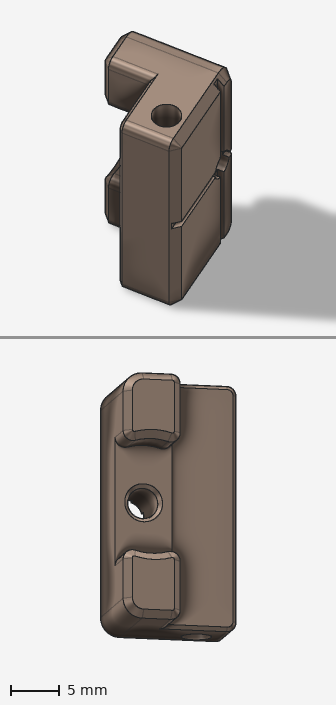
import cadquery as cq
import math

WIDTH = 12.4
DEPTH = 13.0
HEIGHT = 25.6

ARM_DEPTH = 6.0
ARM_CENTER_Y = DEPTH - ARM_DEPTH / 2
ARM_FRONT_Y = DEPTH - ARM_DEPTH
NOTCH_FLOOR_X = 4.55
NOTCH_RADIUS = ARM_DEPTH
HORN_CHAMFER = 0.8

BLOCK_LEFT_X = 5.58
BLOCK_CHAMFER = 0.4

BACK_RADIUS = 2.0
EDGE_RADIUS = 1.0
RIGHT_CHAMFER = 0.97

SCREW_DIAMETER = 3.15
SCREW_BEVEL = 0.4
PIN_DIAMETER = 3.1
PIN_X = 9.37
PIN_Y = 3.4
GROOVE_WIDTH = 0.8
GROOVE_DEPTH = 0.77

MID_Z = HEIGHT / 2


def rounded_plate(front_y, left_x, right_x):
    """Full-height plate with small front rounds and large back rounds, normal to X."""
    plate = cq.Workplane("XY").box(right_x - left_x, DEPTH - front_y, HEIGHT, centered=False)
    plate = plate.translate((left_x, front_y, 0))
    plate = plate.edges("|X and <Y").fillet(EDGE_RADIUS)
    return plate.edges("|X and >Y").fillet(BACK_RADIUS)


def make_block():
    block = rounded_plate(0, BLOCK_LEFT_X, WIDTH)
    block = block.faces("<X").chamfer(BLOCK_CHAMFER)
    return block.faces(">X").chamfer(RIGHT_CHAMFER)


def make_horn():
    """Upper horn: rounded outer corners, concave lower face, bevelled end."""
    half = ARM_DEPTH / 2
    round_y = half - EDGE_RADIUS
    round_z = math.sqrt((NOTCH_RADIUS + EDGE_RADIUS) ** 2 - round_y ** 2)
    touch = NOTCH_RADIUS / (NOTCH_RADIUS + EDGE_RADIUS)
    touch_y = round_y * touch
    touch_z = round_z * touch
    angle = math.atan2(-round_z, -round_y) / 2
    mid_y = round_y + EDGE_RADIUS * math.cos(angle)
    mid_z = round_z + EDGE_RADIUS * math.sin(angle)

    diagonal = math.sqrt(0.5)
    top = HEIGHT / 2
    front_mid = EDGE_RADIUS * (1 - diagonal)
    back_mid = BACK_RADIUS * (1 - diagonal)
    horn = (
        cq.Workplane("YZ", origin=(0, ARM_CENTER_Y, MID_Z))
        .moveTo(-half, round_z)
        .lineTo(-half, top - EDGE_RADIUS)
        .threePointArc((-half + front_mid, top - front_mid), (-half + EDGE_RADIUS, top))
        .lineTo(half - BACK_RADIUS, top)
        .threePointArc((half - back_mid, top - back_mid), (half, top - BACK_RADIUS))
        .lineTo(half, round_z)
        .threePointArc((mid_y, mid_z), (touch_y, touch_z))
        .threePointArc((0, NOTCH_RADIUS), (-touch_y, touch_z))
        .threePointArc((-mid_y, mid_z), (-half, round_z))
        .close()
        .extrude(NOTCH_FLOOR_X)
    )
    return horn.faces("<X").chamfer(HORN_CHAMFER)


def make_screw_hole():
    """Hole along X through the arm, bevelled at the notch floor."""
    radius = SCREW_DIAMETER / 2
    hole = cq.Workplane("YZ", origin=(0, ARM_CENTER_Y, MID_Z)).circle(radius).extrude(WIDTH)
    bevel = cq.Solid.makeCone(
        radius + SCREW_BEVEL,
        radius,
        SCREW_BEVEL,
        cq.Vector(NOTCH_FLOOR_X, ARM_CENTER_Y, MID_Z),
        cq.Vector(1, 0, 0),
    )
    return hole.union(cq.Workplane(bevel))


def make_pin_hole():
    return cq.Workplane("XY").center(PIN_X, PIN_Y).circle(PIN_DIAMETER / 2).extrude(HEIGHT)


def make_cross_grooves():
    """Two grooves crossing at the screw hole on the right face."""
    groove_x = WIDTH - GROOVE_DEPTH / 2
    upright = cq.Workplane("XY").box(GROOVE_DEPTH, GROOVE_WIDTH, HEIGHT)
    level = cq.Workplane("XY").box(GROOVE_DEPTH, DEPTH, GROOVE_WIDTH)
    return (
        upright.translate((groove_x, ARM_CENTER_Y, MID_Z))
        .union(level.translate((groove_x, DEPTH / 2, MID_Z)))
    )


upper_horn = make_horn()
lower_horn = upper_horn.mirror("XY", (0, 0, MID_Z))
arm_plate = rounded_plate(ARM_FRONT_Y, NOTCH_FLOOR_X, BLOCK_LEFT_X + BLOCK_CHAMFER)

result = (
    make_block()
    .union(arm_plate)
    .union(upper_horn)
    .union(lower_horn)
    .cut(make_screw_hole())
    .cut(make_pin_hole())
    .cut(make_cross_grooves())
)